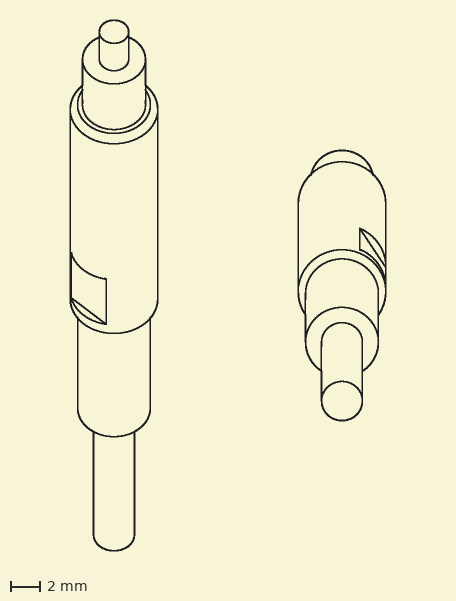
import cadquery as cq

tail_diameter = 2.8
sleeve_diameter = 5.0
body_diameter = 6.0
collar_diameter = 4.3
pin_diameter = 2.0

tail_top = 14.0
sleeve_top = 25.55
body_top = 47.5
collar_top = 52.5
pin_top = 56.0

body_chamfer = 0.5
dome_height = 0.45

flat_bottom = 27.0
flat_height = 5.0
across_flats = sleeve_diameter


def cylinder(diameter, bottom, top):
    """Vertical cylinder on the Z axis between two heights."""
    return cq.Workplane("XY").workplane(offset=bottom).circle(diameter / 2).extrude(top - bottom)


def wrench_flat_cutter(side):
    """Block that trims the body down to a flat on the given Y side (+1 or -1)."""
    block_size = body_diameter
    center_y = side * (across_flats + block_size) / 2
    return (
        cq.Workplane("XY")
        .workplane(offset=flat_bottom)
        .center(0, center_y)
        .rect(block_size, block_size)
        .extrude(flat_height)
    )


body = cylinder(body_diameter, sleeve_top, body_top).edges("%CIRCLE").chamfer(body_chamfer)
for side in (-1, 1):
    body = body.cut(wrench_flat_cutter(side))

tail = cylinder(tail_diameter, 0, tail_top)
sleeve = cylinder(sleeve_diameter, tail_top, sleeve_top)
collar = cylinder(collar_diameter, body_top, collar_top)

pin_radius = pin_diameter / 2
dome_base = pin_top - dome_height
dome_radius = (pin_radius**2 + dome_height**2) / (2 * dome_height)
half_radius = pin_radius / 2
half_radius_height = pin_top - dome_radius + (dome_radius**2 - half_radius**2) ** 0.5
pin = (
    cq.Workplane("XZ")
    .moveTo(0, collar_top)
    .lineTo(pin_radius, collar_top)
    .lineTo(pin_radius, dome_base)
    .threePointArc((half_radius, half_radius_height), (0, pin_top))
    .close()
    .revolve(360, (0, 0, 0), (0, 1, 0))
)

result = tail.union(sleeve).union(body).union(collar).union(pin)